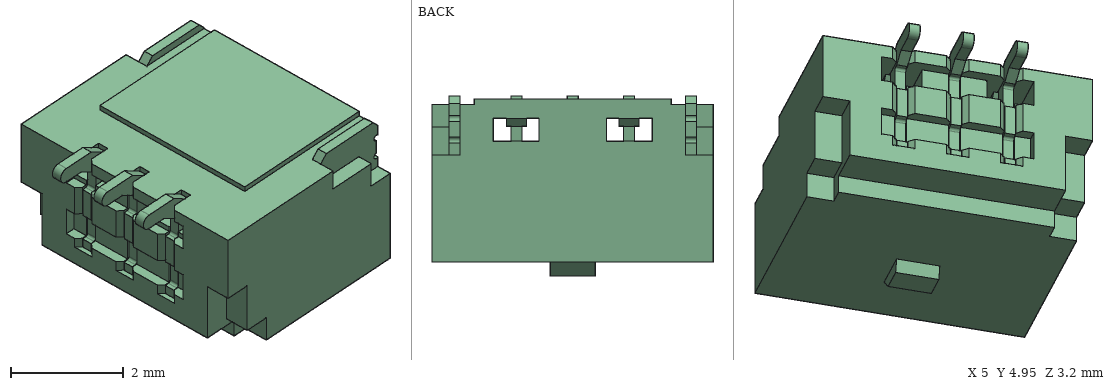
import cadquery as cq
import math


width = 5.0
depth = 4.25
height = 2.8

pad_width = 3.5
pad_front = 1.25
pad_height = 0.1

key_width = 0.8
key_drop = 0.25
key_front = 2.47
key_front_taper = 0.06
key_rear = 3.25

corner_width = 0.5
corner_depth = 0.5
corner_top = 1.5
foot_depth = 1.0
foot_top = 0.5
toe_depth = 0.7
toe_top = 0.35

pitch = 1.0
pin_positions = (-pitch, 0.0, pitch)
pin_width = 0.2
pin_rear = 0.5
pin_bottom = 0.715
slot_clearance = 0.01
slot_width = pin_width + 2 * slot_clearance
slot_rear = pin_rear + 2 * slot_clearance

groove_depth = 0.1

recess_width = 2.82
recess_depth = 0.2
lower_recess_bottom = 0.91
lower_recess_top = 1.46
upper_recess_bottom = 2.05
upper_recess_top = 2.55

window_width = 0.81
window_bottom = 2.15
window_center = recess_width / 2 - window_width / 2
rib_width = 0.36
rib_height = 0.14

tail_reach = 0.7
tail_thickness = 0.3
tail_top = 2.95
tail_radius = tail_thickness / 2
tail_bottom = tail_top - tail_thickness
ramp_slope = math.tan(math.radians(30))
ramp_start = 0.1
underside_start = -0.16
pin_face = groove_depth
pin_recessed_face = 0.22
pin_fillet = 0.05
nose_bottom = 2.5
upper_step = 2.015
lower_step = 1.41
foot_step = 0.91
step_slant = 0.015

tab_inner = 2.0
tab_thickness = 0.2
tab_outer = tab_inner + tab_thickness
tab_front = 2.75
tab_bottom = 1.9
tab_top = 2.95
tab_front_chamfer = 0.15
tab_rear_chamfer = 0.13
relief_depth = 0.04
relief_radius = 0.06
relief_low = 2.16
relief_high = 2.56
crossbar_size = 0.2
crossbar_front = 3.0

opening_floor = 2.4
opening_low_front = 3.75
opening_width = width / 2 - tab_outer


def centered_block(x, x_size, y_min, y_max, z_min, z_max):
    """Axis-aligned box centred on x."""
    sketch = cq.Workplane("XY", origin=(x, (y_min + y_max) / 2, z_min))
    return sketch.rect(x_size, y_max - y_min).extrude(z_max - z_min)


def extrude_side(points, x, x_size):
    """Prism along X, centred on x, from a (y, z) outline."""
    start = x - x_size / 2
    return cq.Workplane("YZ", origin=(start, 0, 0)).polyline(points).close().extrude(x_size)


def make_key():
    outline = [
        (key_front, 0),
        (key_rear, 0),
        (key_rear - key_drop, -key_drop),
        (key_front + key_front_taper, -key_drop),
    ]
    return extrude_side(outline, 0, key_width)


def make_front_groove(x):
    """Groove whose sides close in at 45 degrees to the contact slot."""
    inner = slot_width / 2
    outer = inner + groove_depth
    outline = [(x - outer, 0), (x + outer, 0), (x + inner, groove_depth), (x - inner, groove_depth)]
    return (
        cq.Workplane("XY", origin=(0, 0, pin_bottom))
        .polyline(outline)
        .close()
        .extrude(height - pin_bottom)
    )


def make_window_rib(x):
    """Wedge under the window ceiling, behind the contact."""
    low = upper_recess_top - rib_height
    outline = [
        (slot_rear, upper_recess_top),
        (slot_rear + rib_height, low),
        (slot_rear + 2 * rib_height, upper_recess_top),
    ]
    return extrude_side(outline, x, rib_width)


def make_tab_leg(side):
    """Upright leg on one side, with a break-off relief in its rear edge."""
    x = side * (tab_inner + tab_thickness / 2)
    outline = [
        (tab_front, tab_bottom),
        (depth, tab_bottom),
        (depth, tab_top - tab_rear_chamfer),
        (depth - tab_rear_chamfer, tab_top),
        (tab_front + tab_front_chamfer, tab_top),
        (tab_front, tab_top - tab_front_chamfer),
    ]
    leg = extrude_side(outline, x, tab_thickness)
    relief_floor = depth - relief_depth
    leg = leg.cut(centered_block(x, tab_thickness, relief_floor, depth, relief_low, relief_high))
    for z in (relief_low, relief_high):
        scallop = (
            cq.Workplane("YZ", origin=(x - tab_thickness / 2, 0, 0))
            .center(relief_floor, z)
            .circle(relief_radius)
            .extrude(tab_thickness)
        )
        leg = leg.cut(scallop)
    return leg


def make_crossbar():
    return centered_block(
        0, 2 * tab_inner,
        crossbar_front, crossbar_front + crossbar_size,
        tab_bottom, tab_bottom + crossbar_size,
    )


def make_solder_tabs():
    return make_crossbar().union(make_tab_leg(-1)).union(make_tab_leg(1))


def make_housing():
    body = centered_block(0, width, 0, depth, 0, height)
    body = body.union(centered_block(0, pad_width, pad_front, depth, height, height + pad_height))
    body = body.union(make_key())

    body = body.cut(centered_block(0, width, 0, toe_depth, 0, toe_top))
    for side in (-1, 1):
        x = side * (width - corner_width) / 2
        body = body.cut(centered_block(x, corner_width, 0, corner_depth, 0, corner_top))
        body = body.cut(centered_block(x, corner_width, 0, foot_depth, 0, foot_top))

    for bottom, top in (
        (lower_recess_bottom, lower_recess_top),
        (upper_recess_bottom, upper_recess_top),
    ):
        body = body.cut(centered_block(0, recess_width, 0, recess_depth, bottom, top))
    for side in (-1, 1):
        x = side * window_center
        body = body.cut(centered_block(x, window_width, 0, depth, window_bottom, upper_recess_top))
        body = body.union(make_window_rib(side * pitch))

    for x in pin_positions:
        body = body.cut(make_front_groove(x))
        body = body.cut(centered_block(x, slot_width, 0, slot_rear, pin_bottom, height))

    for side in (-1, 1):
        x = side * (width - opening_width) / 2
        body = body.cut(centered_block(x, opening_width, tab_front, depth, opening_floor, height))
        body = body.cut(
            centered_block(x, opening_width, opening_low_front, depth, tab_bottom, height)
        )
        leg_x = side * (tab_inner + tab_thickness / 2)
        body = body.cut(centered_block(leg_x, tab_thickness, tab_front, depth, tab_bottom, height))
    return body.cut(make_crossbar())


def make_contact(x):
    """Flat contact: bent tail, sloping shoulder and a stepped front edge with filleted corners."""
    tail_center = tail_radius - tail_reach
    ramp_end_height = tail_top - (pin_rear - ramp_start) * ramp_slope
    nose_front = underside_start + (tail_bottom - nose_bottom) / ramp_slope
    fillet_front = pin_recessed_face - pin_fillet
    return (
        cq.Workplane("YZ", origin=(x - pin_width / 2, 0, 0))
        .moveTo(pin_rear, pin_bottom)
        .lineTo(pin_rear, ramp_end_height)
        .lineTo(ramp_start, tail_top)
        .lineTo(tail_center, tail_top)
        .threePointArc((-tail_reach, tail_top - tail_radius), (tail_center, tail_bottom))
        .lineTo(underside_start, tail_bottom)
        .lineTo(nose_front, nose_bottom)
        .lineTo(fillet_front, nose_bottom)
        .tangentArcPoint((pin_recessed_face, nose_bottom - pin_fillet), relative=False)
        .lineTo(pin_recessed_face, upper_step + pin_fillet)
        .tangentArcPoint((fillet_front, upper_step), relative=False)
        .lineTo(pin_face, upper_step - step_slant)
        .lineTo(pin_face, lower_step + step_slant)
        .lineTo(fillet_front, lower_step)
        .tangentArcPoint((pin_recessed_face, lower_step - pin_fillet), relative=False)
        .lineTo(pin_recessed_face, foot_step + pin_fillet)
        .tangentArcPoint((fillet_front, foot_step), relative=False)
        .lineTo(pin_face, foot_step - step_slant)
        .lineTo(pin_face, pin_bottom)
        .close()
        .extrude(pin_width)
    )


housing = make_housing()
solder_tabs = make_solder_tabs()
contacts = [make_contact(x) for x in pin_positions]

result = cq.Compound.makeCompound(
    [housing.val(), solder_tabs.val(), *[contact.val() for contact in contacts]]
)